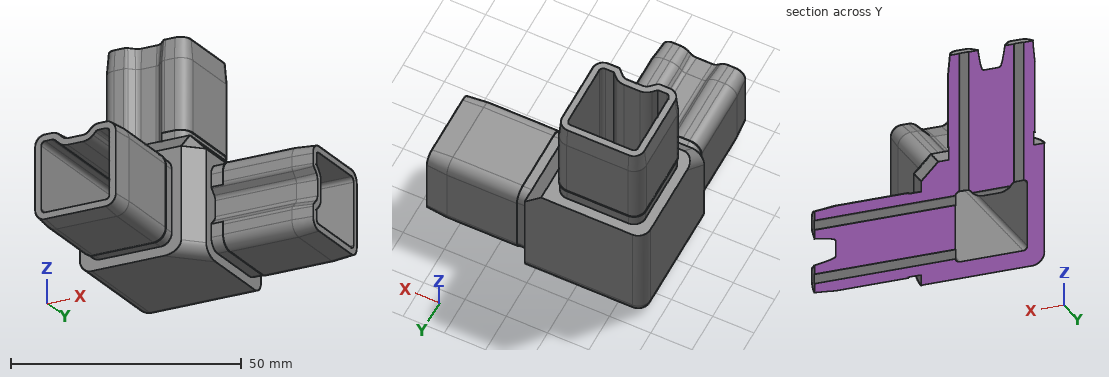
import cadquery as cq
import math


OVERALL = 54.0

CUBE_SIDE = 29.0
CUBE_CHAMFER = 4.0
CUBE_FILLET = 2.95

ARM_CENTER = (CUBE_SIDE - CUBE_CHAMFER) / 2
ARM_WIDTH = 20.8
ARM_CORNER_RADIUS = 2.95
ARM_WALL = 2.0
NECK_LENGTH = 2.95
NECK_INSET = 0.2
TIP_LENGTH = 5.0
TIP_INSET = 0.45

GROOVE_DEPTH = 2.0
GROOVE_FLOOR_WIDTH = 5.0
GROOVE_FLANK_ANGLE = 45.0
GROOVE_ROOT_RADIUS = 1.5
TIGHT_LIP_RADIUS = 1.3
WIDE_LIP_RADIUS = 3.25

NECK_END = CUBE_SIDE + NECK_LENGTH
TIP_START = OVERALL - TIP_LENGTH
CAVITY_CORNER_RADIUS = ARM_CORNER_RADIUS - ARM_WALL
CAVITY_FLOOR = ARM_CENTER - ARM_WIDTH / 2 + ARM_WALL
BORE_START = CAVITY_FLOOR + CAVITY_CORNER_RADIUS


def rounded_outline(workplane, corners):
    """Closed outline through (x, y, radius) corners; a zero radius leaves the corner sharp."""
    stretches = []
    for i, (x, y, radius) in enumerate(corners):
        corner = cq.Vector(x, y)
        before = cq.Vector(*corners[i - 1][:2])
        after = cq.Vector(*corners[(i + 1) % len(corners)][:2])
        if radius == 0:
            stretches.append([corner])
            continue
        to_before = (before - corner).normalized()
        to_after = (after - corner).normalized()
        half_angle = to_before.getAngle(to_after) / 2
        tangent_length = radius / math.tan(half_angle)
        arc_gap = radius / math.sin(half_angle) - radius
        bisector = (to_before + to_after).normalized()
        stretches.append([
            corner + to_before * tangent_length,
            corner + bisector * arc_gap,
            corner + to_after * tangent_length,
        ])

    outline = workplane.moveTo(*stretches[-1][-1].toTuple()[:2])
    for stretch in stretches:
        outline = outline.lineTo(*stretch[0].toTuple()[:2])
        if len(stretch) > 1:
            outline = outline.threePointArc(stretch[1].toTuple()[:2], stretch[2].toTuple()[:2])
    return outline.close()


def grooved_outline(workplane, lip_radius, inset=0):
    """Arm section moved inward by inset, with its groove opening toward local +Y."""
    half = ARM_WIDTH / 2 - inset
    corner_radius = ARM_CORNER_RADIUS - inset
    flank_shift = inset * math.tan(math.radians(GROOVE_FLANK_ANGLE / 2))
    root_x = GROOVE_FLOOR_WIDTH / 2 + flank_shift
    lip_x = root_x + GROOVE_DEPTH / math.tan(math.radians(GROOVE_FLANK_ANGLE))
    right_side = [
        (root_x, half - GROOVE_DEPTH, GROOVE_ROOT_RADIUS + inset),
        (lip_x, half, max(lip_radius - inset, 0)),
        (half, half, corner_radius),
        (half, -half, corner_radius),
    ]
    left_side = [(-x, y, radius) for x, y, radius in reversed(right_side)]
    return rounded_outline(workplane, right_side + left_side)


def arm_outside(plane, lip_radius):
    """Plug from inside the cube to its tapered tip, with a stepped-in neck at the cube."""
    root = cq.Workplane(plane).workplane(offset=ARM_CENTER)
    grooved_neck = grooved_outline(root, lip_radius).extrude(NECK_END - ARM_CENTER)
    neck_width = ARM_WIDTH - 2 * NECK_INSET
    neck_limit = (
        root.rect(neck_width, neck_width)
        .extrude(NECK_END - ARM_CENTER)
        .edges(cq.selectors.ParallelDirSelector(plane.zDir))
        .fillet(ARM_CORNER_RADIUS - NECK_INSET)
    )
    neck = grooved_neck.intersect(neck_limit)

    shank_start = cq.Workplane(plane).workplane(offset=NECK_END)
    shank = grooved_outline(shank_start, lip_radius).extrude(TIP_START - NECK_END)

    tip_start = cq.Workplane(plane).workplane(offset=TIP_START)
    tip_base = grooved_outline(tip_start, lip_radius)
    tip_end = tip_base.workplane(offset=TIP_LENGTH)
    tip = grooved_outline(tip_end, lip_radius, TIP_INSET).loft(ruled=True)
    return neck.union(shank).union(tip)


def arm_cavity(plane, lip_radius, start):
    """Bore of constant wall thickness, from start to the open tip."""
    floor = cq.Workplane(plane).workplane(offset=start)
    return grooved_outline(floor, lip_radius, ARM_WALL).extrude(OVERALL - start)


def corner_cavity(arms):
    """Space shared by all three bores at full depth, with its rounded edges mitred at the corner."""
    shared, *others = [arm_cavity(plane, lip_radius, CAVITY_FLOOR) for plane, lip_radius in arms]
    for other in others:
        shared = shared.intersect(other)
    return shared


def corner_cube():
    """Cube with chamfers between the arm faces and fillets around the plain faces."""
    cube = cq.Workplane("XY").box(CUBE_SIDE, CUBE_SIDE, CUBE_SIDE, centered=False)
    cube = cube.translate((0, -CUBE_SIDE, 0))
    arm_face_edges = cube.edges("(>X and <Y) or (<Y and >Z) or (>X and >Z)")
    cube = arm_face_edges.chamfer(CUBE_CHAMFER)
    plain_edges = "(<X and >Y) or (<X and <Z) or (>Y and <Z)"
    middle = CUBE_SIDE - CUBE_CHAMFER / 2
    chamfer_ends = [(0, -middle, middle), (middle, -middle, 0)]
    edges = cube.edges(plain_edges)
    for point in chamfer_ends:
        edges = edges.add(cube.edges(cq.selectors.NearestToPointSelector(point)))
    return edges.fillet(CUBE_FILLET)


ARMS = [
    (cq.Plane((0, -ARM_CENTER, ARM_CENTER), xDir=(0, 0, 1), normal=(1, 0, 0)), TIGHT_LIP_RADIUS),
    (cq.Plane((ARM_CENTER, 0, ARM_CENTER), xDir=(1, 0, 0), normal=(0, -1, 0)), WIDE_LIP_RADIUS),
    (cq.Plane((ARM_CENTER, -ARM_CENTER, 0), xDir=(-1, 0, 0), normal=(0, 0, 1)), TIGHT_LIP_RADIUS),
]

result = corner_cube()
for arm_plane, arm_lip_radius in ARMS:
    result = result.union(arm_outside(arm_plane, arm_lip_radius))
for arm_plane, arm_lip_radius in ARMS:
    result = result.cut(arm_cavity(arm_plane, arm_lip_radius, BORE_START))
result = result.cut(corner_cavity(ARMS))